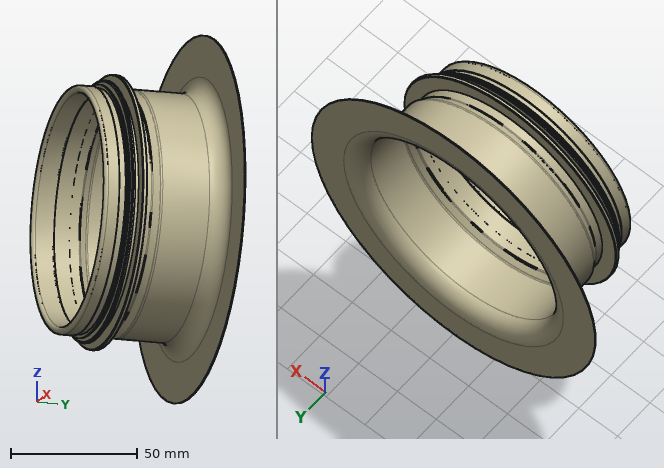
import cadquery as cq
import math


total_depth = 51.0
sheet = 0.51
flange_radius = 146 / 2
tube_radius = 99.0 / 2
neck_radius = 95.2 / 2
spigot_bore_radius = 93.2 / 2
flare_depth = 7.6
taper_start = 27.5
taper_end = 30.8
taper_start_bend = 1.6
taper_end_bend = 1.0
spigot_start = 42.0
hem_start = 44.8

flare_radius = flare_depth - sheet
spigot_radius = spigot_bore_radius + sheet
hem_bore_radius = tube_radius - sheet
hem_fold_radius = (tube_radius - spigot_bore_radius) / 2
hem_fold_center = (tube_radius + spigot_bore_radius) / 2
hem_fold_start = total_depth - hem_fold_radius

gasket_start = 34.9
rim_end = 36.8
rim_radius = 109.4 / 2
front_lip_start = 41.2
front_lip_end = 42.2
front_lip_radius = 100.8 / 2
rear_lip_start = 39.1
rear_lip_end = 40.3
rear_lip_radius = 104.4 / 2
lip_bevel_drop = 0.6
lip_bevel_width = 0.5
rim_chamfer = 0.3


def at(radius, depth):
    """Profile point in the XY plane."""
    return (radius, -depth)


def revolve(profile):
    """Turn a closed profile once around the Y axis."""
    return profile.close().revolve(360, (0, 0, 0), (0, 1, 0))


def flare_point(radius):
    """Middle of a quarter arc about the flare centre."""
    offset = radius * math.sqrt(0.5)
    return at(tube_radius + flare_radius - offset, flare_depth - offset)


def bend(body, depth, radius):
    """Round the inner and outer circular edges that lie at one depth."""
    half = 0.07
    window = cq.selectors.BoxSelector((-half, -depth - half, -half), (half, -depth + half, half))
    return body.edges(window).fillet(radius)


def make_collar():
    """Flange, flare, tube, neck and spigot with a hem folded outwards."""
    flare_center_radius = tube_radius + flare_radius
    inner_fold_radius = hem_fold_radius - sheet
    profile = (
        cq.Workplane("XY")
        .moveTo(*at(flange_radius, 0))
        .lineTo(*at(flange_radius, sheet))
        .lineTo(*at(flare_center_radius, sheet))
        .threePointArc(flare_point(flare_radius), at(tube_radius, flare_depth))
        .lineTo(*at(tube_radius, taper_start))
        .lineTo(*at(neck_radius, taper_end))
        .lineTo(*at(neck_radius, spigot_start))
        .lineTo(*at(spigot_radius, spigot_start))
        .lineTo(*at(spigot_radius, hem_fold_start))
        .threePointArc(
            at(hem_fold_center, hem_fold_start + inner_fold_radius),
            at(hem_bore_radius, hem_fold_start),
        )
        .lineTo(*at(hem_bore_radius, hem_start))
        .lineTo(*at(tube_radius, hem_start))
        .lineTo(*at(tube_radius, hem_fold_start))
        .threePointArc(
            at(hem_fold_center, total_depth),
            at(spigot_bore_radius, hem_fold_start),
        )
        .lineTo(*at(spigot_bore_radius, spigot_start - sheet))
        .lineTo(*at(neck_radius - sheet, spigot_start - sheet))
        .lineTo(*at(neck_radius - sheet, taper_end))
        .lineTo(*at(tube_radius - sheet, taper_start))
        .lineTo(*at(tube_radius - sheet, flare_depth))
        .threePointArc(flare_point(flare_radius + sheet), at(flare_center_radius, 0))
    )
    body = bend(revolve(profile), taper_start, taper_start_bend)
    return bend(body, taper_end, taper_end_bend)


def make_gasket():
    """Ring seated on the neck and spigot, held under the hem, with two lips."""
    profile = (
        cq.Workplane("XY")
        .moveTo(*at(neck_radius, gasket_start))
        .lineTo(*at(rim_radius - rim_chamfer, gasket_start))
        .lineTo(*at(rim_radius, gasket_start + rim_chamfer))
        .lineTo(*at(rim_radius, rim_end - rim_chamfer))
        .lineTo(*at(rim_radius - rim_chamfer, rim_end))
        .lineTo(*at(hem_bore_radius, rim_end))
        .lineTo(*at(hem_bore_radius, rear_lip_start))
        .lineTo(*at(rear_lip_radius, rear_lip_start))
        .lineTo(*at(rear_lip_radius, rear_lip_end - lip_bevel_width))
        .lineTo(*at(rear_lip_radius - lip_bevel_drop, rear_lip_end))
        .lineTo(*at(hem_bore_radius, rear_lip_end))
        .lineTo(*at(hem_bore_radius, front_lip_start))
        .lineTo(*at(front_lip_radius - lip_bevel_drop, front_lip_start))
        .lineTo(*at(front_lip_radius, front_lip_start + lip_bevel_width))
        .lineTo(*at(front_lip_radius, front_lip_end))
        .lineTo(*at(hem_bore_radius, front_lip_end))
        .lineTo(*at(hem_bore_radius, hem_fold_start))
        .lineTo(*at(spigot_radius, hem_fold_start))
        .lineTo(*at(spigot_radius, spigot_start))
        .lineTo(*at(neck_radius, spigot_start))
    )
    return revolve(profile)


collar = make_collar()
gasket = make_gasket()

result = cq.Compound.makeCompound([collar.val(), gasket.val()])